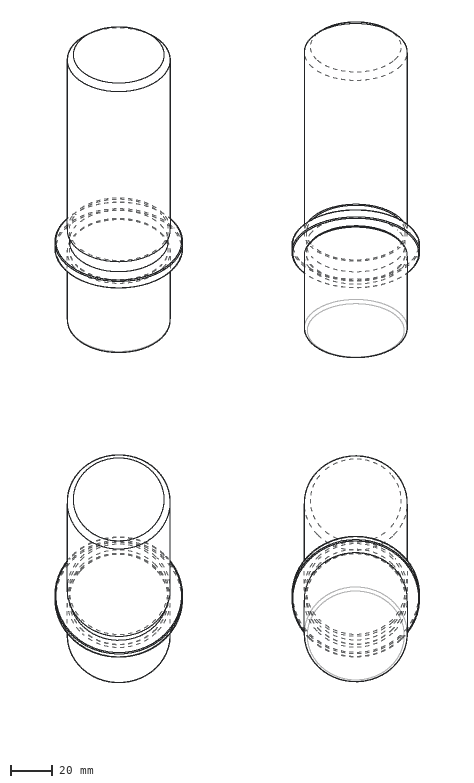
import cadquery as cq

total_height = 165.0
flange_bottom = 45.0
flange_thickness = 5.0
neck_height = 7.0
relief_height = 0.5

shaft_diameter = 50.0
flange_diameter = 62.0
neck_diameter = 48.0

top_chamfer = 3.0
shank_bottom_fillet = 1.5
shank_top_chamfer = 1.0
flange_chamfer = 0.5

flange_top = flange_bottom + flange_thickness
shaft_bottom = flange_top + neck_height
shank_height = flange_bottom - relief_height
relief_diameter = shaft_diameter - 2 * shank_top_chamfer


def cylinder(diameter, bottom, top):
    """Solid round section of the pin between two heights."""
    return cq.Workplane("XY").workplane(offset=bottom).circle(diameter / 2).extrude(top - bottom)


shank = cylinder(shaft_diameter, 0, shank_height)
shank = shank.faces("<Z").edges().fillet(shank_bottom_fillet)
shank = shank.faces(">Z").edges().chamfer(shank_top_chamfer)

relief = cylinder(relief_diameter, shank_height, flange_bottom)

flange = cylinder(flange_diameter, flange_bottom, flange_top).edges().chamfer(flange_chamfer)

neck = cylinder(neck_diameter, flange_top, shaft_bottom)

shaft = cylinder(shaft_diameter, shaft_bottom, total_height).faces(">Z").edges().chamfer(top_chamfer)

result = shank.union(relief).union(flange).union(neck).union(shaft)